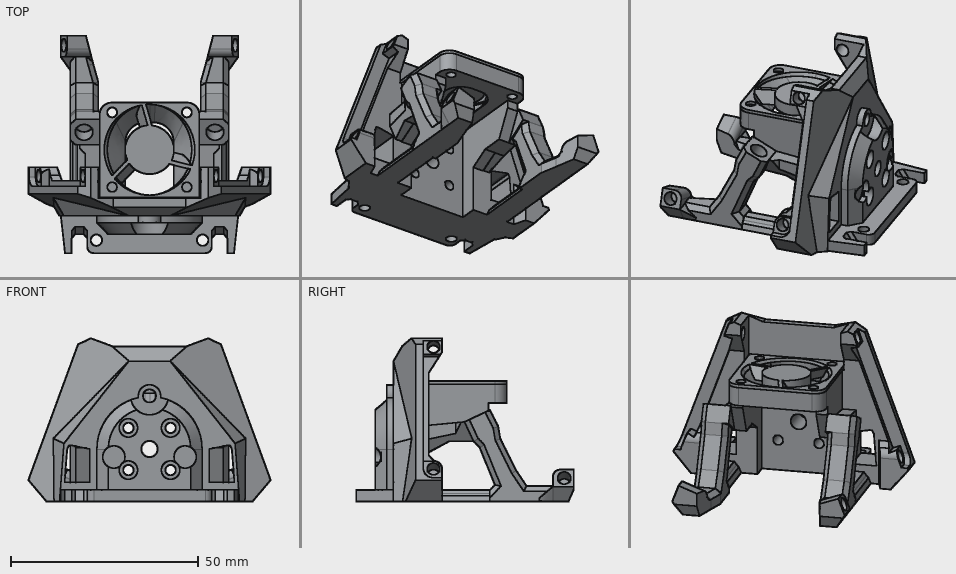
import cadquery as cq
import math


plate_front_y = 9.95
plate_edge_y = 15.85
rebate_y = 17.9
plate_rear_y = 19.4
ear_rear_y = 23.0
inset_peak_x = 17.2
rebate_inset = 1.7
top_z = 41.4

brow = (5.5, plate_front_y, 37.55)
cheek = (25.6, 14.75, 16.8)
cheek_inner = (22.85, plate_front_y, 15.55)
cheek_foot = (cheek[0], 12.6, 0.0)
notch_corner = (9.7, top_z)
peak = (15.65, 43.6)
shoulder = (19.1, 42.0)
elbow = (32.35, 5.75)
foot = (27.5, 0.0)
brow_rear = (notch_corner[0], 12.2, top_z)
shoulder_edge = (shoulder[0], plate_edge_y, shoulder[1])
elbow_edge = (elbow[0], plate_edge_y, elbow[1])
flank_run = (elbow[0] - shoulder[0]) / (shoulder[1] - elbow[1])
flank_tilt = math.degrees(math.atan(flank_run))

window_bottom_z = 5.1
window_outline = [(16.0, window_bottom_z), (22.65, window_bottom_z), (21.95, 14.05), (21.5, 15.0),
                  (20.8, 15.0), (16.0, 14.05)]

ear_hole_radius = 1.7
flank_drill_reach = 5.2
ear_hole_y = 20.65
upper_ear_hole_z = 41.3
lower_ear_hole_z = 8.75
upper_pad_z = 39.35
lower_pad_z = 10.8
pad_rise = 2.15
rebate_round = 2.5
ledge_z = 6.4
lower_ear_inner_x = 23.35
lower_ear_tip_x = 24.65

flange_height = 3.1
flange_half_width = 23.7
prong_tip_x = 22.6
slot_inner_x = 16.65
slot_outer_x = 20.8
slot_top_y = 7.05
slot_bottom_y = 5.05
tongue_corner = 1.75
slot_corner = 0.9
flange_hole_x = 14.2
flange_hole_y = 3.5
flange_hole_radius = 1.5

boss_z = 14.05
boss_radius = 14.05
boss_step_y = 8.15
boss_face_y = 5.05
boss_face_radius = 11.0
screw_z = 28.2
screw_pad_radius = 3.0
screw_clearance_radius = 5.05
screw_hole_radius = 1.75
bolt_spacing = 11.25
bolt_radius = 1.35
counterbore_radius = 2.45
counterbore_depth = 2.6
centre_hole_radius = 2.15
pocket_x = 9.5
pocket_z = 11.9
pocket_radius = 3.0
pocket_depth = 1.6

duct_half_width = 13.3
recess_half_width = 13.7
recess_y = 14.6
cover_front_y = 15.0
cover_bottom_z = 31.3
cover_thickness = 0.9
duct_wall_rear_y = 35.35
lug_rear_y = 40.25
lug_bottom_z = 26.3
lug_corner = 3.25
duct_bottom_z = 16.1
channel_half_width = 10.1
fan_y = 27.65
fan_radius = 12.1
funnel_half_width = 11.25
throat_half_width = 6.4
throat_front_y = fan_y - fan_radius
throat_rear_y = 34.9
throat_corner = 5.2
fan_hole_spacing = 19.95
fan_hole_radius = 1.3
fan_hole_depth = 3.9
hub_radius = 6.55
hub_depth = 3.25
vane_count = 3
vane_width = 1.1
vane_offset = 1.9
vane_lean = 2.2
vane_angle = 106.0

pad_front = (28.9, 21.3)
pad_rear = (35.7, 24.45)
pad_back = (37.9, 20.1)
arm_heel = (31.3, duct_bottom_z)
duct_foot_y = 24.9
duct_foot_z = 13.15
arm_inner_x = 13.65
arm_outer_x = 21.15
arm_chamfer = 1.4
pad_tilt = 25.0
pad_hole_x = 17.5
pad_hole_y = 32.3
pad_hole_z = 22.85
pad_hole_radius = 2.3
pad_hole_depth = 5.2
arm_foot_z = 4.2
stem_foot_y = 35.7
tail_front_y = 52.5
tail_rear_y = 58.1
tail_corner = (23.75, 4.0)
tail_shoulder = (22.0, 8.6)
tail_round = 2.15
flare_length = 3.6
flare_tip_z = 0.9
tail_hole = (22.65, 55.5, 6.2)
tail_hole_radius = 1.75
rail_front_y = 18.8
rail_rear_y = 37.55
rail_half_width = 3.3
gusset_outer_x = 17.15
gusset_inner_x = 15.2
gusset_flare_x = 19.2

OVERLAP = 0.65
FAR = 194.15
PART_CENTRE = cq.Vector(0, 25.9, 12.95)


def mirrored(body):
    """Return the body together with its mirror image across X = 0."""
    return body.union(body.mirror("YZ"))


def along_y(points, y0, y1):
    """Prism of an XZ outline between two Y positions."""
    return cq.Workplane("XZ", origin=(0, y0, 0)).polyline(points).close().extrude(y0 - y1)


def along_x(points, x0, x1):
    """Prism of a YZ outline between two X positions."""
    return cq.Workplane("YZ", origin=(x0, 0, 0)).polyline(points).close().extrude(x1 - x0)


def along_z(points, z0, z1):
    """Prism of an XY outline between two heights."""
    return cq.Workplane("XY", origin=(0, 0, z0)).polyline(points).close().extrude(z1 - z0)


def block(x0, x1, y0, y1, z0, z1):
    return cq.Workplane("XY").box(x1 - x0, y1 - y0, z1 - z0, centered=False).translate((x0, y0, z0))


def disc(x, z, radius, y0, y1):
    """Cylinder along Y."""
    return cq.Workplane("XZ", origin=(x, y0, z)).circle(radius).extrude(y0 - y1)


def trim(body, a, b, c):
    """Cut the body along the plane through three points, keeping the side of the part centre."""
    origin = cq.Vector(*a)
    normal = (cq.Vector(*b) - origin).cross(cq.Vector(*c) - origin).normalized()
    if normal.dot(PART_CENTRE - origin) > 0:
        normal = normal * -1
    waste = cq.Workplane(cq.Plane(origin, normal=normal)).rect(FAR, FAR).extrude(FAR)
    return body.cut(waste)


def trim_both(body, *points):
    """Cut the body along a plane and along the mirror image of that plane."""
    body = trim(body, *points)
    return trim(body, *[(-x, y, z) for x, y, z in points])


def flank_x(z):
    """Half width of the rim at a height on its sloping side."""
    return elbow[0] - (z - elbow[1]) * flank_run


def flank_hole(x, y, z, radius):
    """Long drill square to the sloping flank, centred on a point."""
    drill = cq.Workplane("YZ").circle(radius).extrude(flank_drill_reach, both=True)
    return drill.rotate((0, 0, 0), (0, 1, 0), -flank_tilt).translate((x, y, z))


def make_faceted_plate():
    half = [notch_corner, peak, shoulder, elbow, foot]
    outline = half + [(-x, z) for x, z in reversed(half)]
    shell = along_y(outline, plate_front_y, rebate_y)
    shell = trim_both(shell, brow, shoulder_edge, elbow_edge)
    raised = block(-cheek[0], cheek[0], plate_front_y, plate_edge_y, 0, brow[2])
    raised = trim_both(raised, brow, cheek, cheek_inner)
    raised = trim_both(raised, cheek, cheek_inner, cheek_foot)
    plate = shell.union(raised)
    return trim(plate, brow, brow_rear, (-brow[0], brow[1], brow[2]))


def make_ear_gap():
    """Sunken stretch of the rebate that leaves the two ear pads standing proud of the rim."""
    lean = math.radians(flank_tilt)

    def off_pad(z, distance):
        return (flank_x(z) - rebate_inset + distance * math.cos(lean), z + distance * math.sin(lean))

    outline = [off_pad(upper_pad_z, OVERLAP), off_pad(upper_pad_z, -pad_rise),
               off_pad(lower_pad_z, -pad_rise), off_pad(lower_pad_z, OVERLAP)]
    return along_y(outline, rebate_y, ear_rear_y)


def make_rim():
    """Right-hand rebated rim behind the plate, with an upper and a lower ear."""
    top_drop = (peak[1] - shoulder[1]) / (shoulder[0] - peak[0])
    inset_peak = (inset_peak_x, peak[1] - (inset_peak_x - peak[0]) * top_drop)
    step_x = flank_x(ledge_z)
    outline = [(0, 0), foot, elbow, (step_x, ledge_z), (step_x - rebate_inset, ledge_z), inset_peak,
               peak, notch_corner, (0, top_z)]
    front = rebate_y - OVERLAP
    rim = along_y(outline, front, plate_rear_y)
    ears = along_y(outline, front, ear_rear_y)
    upper = along_x([(front, 45.3), (ear_rear_y, 45.3), (ear_rear_y, 39.9), (plate_rear_y, 34.35),
                     (front, 34.35)], recess_half_width, elbow[0])
    lower = along_z([(lower_ear_inner_x, front), (lower_ear_inner_x, plate_rear_y),
                     (lower_ear_tip_x, ear_rear_y), (38.8, ear_rear_y), (38.8, front)], 0, 19.4)
    lower_side = (cq.Workplane("YZ").moveTo(front, 0).lineTo(ear_rear_y, 0)
                  .lineTo(ear_rear_y, lower_ear_hole_z)
                  .threePointArc((22.3, 10.2), (20.85, 10.9)).lineTo(plate_rear_y, 12.35).lineTo(front, 12.35)
                  .close().extrude(38.8))
    rim = rim.union(ears.intersect(upper)).union(ears.intersect(lower).intersect(lower_side))
    rim = rim.cut(make_ear_gap())
    corner = (cq.Workplane("YZ", origin=(lower_ear_tip_x, 0, 0)).moveTo(front, ledge_z)
              .lineTo(rebate_y + rebate_round, ledge_z)
              .radiusArc((rebate_y, ledge_z + rebate_round), rebate_round)
              .lineTo(front, ledge_z + rebate_round)
              .close().extrude(elbow[0]))
    full = along_y([(0, 0), foot, elbow, shoulder, (0, shoulder[1])], front, ear_rear_y)
    rim = rim.union(corner.intersect(full))
    for z in (upper_ear_hole_z, lower_ear_hole_z):
        rim = rim.cut(flank_hole(flank_x(z) - rebate_inset, ear_hole_y, z, ear_hole_radius))
    return rim


def make_flange():
    rear = plate_front_y + OVERLAP
    outline = [(flange_half_width, rear), (flange_half_width, plate_front_y), (prong_tip_x, 0)]
    outline += [(-x, y) for x, y in reversed(outline)]
    flange = along_z(outline, 0, flange_height)
    slot = along_x([(-OVERLAP, 0), (slot_bottom_y, 0), (slot_top_y, flange_height),
                    (-OVERLAP, flange_height)],
                   slot_inner_x, slot_outer_x)
    rear_corners = cq.selectors.BoxSelector((slot_inner_x - 0.65, 3.25, -0.65), (slot_outer_x + 0.65, 9.7, 6.5))
    slot = slot.edges(rear_corners).edges("not #Z").chamfer(slot_corner)
    flange = flange.cut(mirrored(slot))
    tongue_edges = cq.selectors.BoxSelector((-slot_inner_x - 0.65, -0.65, -0.65), (slot_inner_x + 0.65, 0.65, 6.5))
    flange = flange.edges("|Z").edges(tongue_edges).fillet(tongue_corner)
    holes = (cq.Workplane("XY").pushPoints([(flange_hole_x, flange_hole_y), (-flange_hole_x, flange_hole_y)])
             .circle(flange_hole_radius).extrude(flange_height))
    return flange.cut(holes)


def arch(radius, y0, y1, end_radius):
    """Round-topped prism standing on the flange, tapering towards the front when the radii differ."""
    rear_plane = cq.Workplane("XZ", origin=(0, y0, boss_z))
    head = rear_plane.circle(radius).workplane(offset=y0 - y1).circle(end_radius).loft()
    leg = along_z([(-radius, y0), (-end_radius, y1), (end_radius, y1), (radius, y0)], flange_height, boss_z)
    head = head.intersect(block(-FAR, FAR, 0, FAR, boss_z, FAR))
    return head.union(leg)


def make_mounting_boss():
    boss = arch(boss_radius, plate_front_y + OVERLAP, boss_step_y, boss_radius)
    face = arch(boss_radius, boss_step_y, boss_face_y, boss_face_radius)
    face = face.cut(disc(0, screw_z, screw_clearance_radius, 0, boss_step_y))
    screw_pad = disc(0, screw_z, screw_pad_radius, boss_step_y, plate_front_y + OVERLAP)
    return boss.union(face).union(screw_pad)


def drill_mounting_boss(body):
    body = body.cut(disc(0, boss_z, centre_hole_radius, 0, plate_rear_y))
    body = body.cut(disc(0, screw_z, screw_hole_radius, 0, fan_y))
    for side in (-1, 1):
        body = body.cut(disc(side * pocket_x, pocket_z, pocket_radius, 0, boss_face_y + pocket_depth))
        for level in (-1, 1):
            x = side * bolt_spacing / 2
            z = boss_z + level * bolt_spacing / 2
            body = body.cut(disc(x, z, bolt_radius, 0, plate_rear_y))
            body = body.cut(disc(x, z, counterbore_radius, 0, boss_face_y + counterbore_depth))
    return body


def make_bore():
    """Opening of the cover: round on top, narrowed to an oval underneath."""
    return (cq.Workplane("XY", origin=(0, fan_y, cover_bottom_z)).ellipse(funnel_half_width, fan_radius)
            .workplane(offset=cover_thickness).ellipse(fan_radius, fan_radius).loft())


def make_funnel():
    """Air passage from the oval below the cover down to the throat, which is rounded at the rear."""
    length = throat_rear_y - throat_front_y
    throat = cq.Sketch().rect(2 * throat_half_width, length).vertices(">Y").fillet(throat_corner)
    throat = throat.moved(cq.Location(cq.Vector(0, throat_rear_y - length / 2 - fan_y, 0)))
    oval = cq.Sketch().ellipse(funnel_half_width, fan_radius)
    oval = oval.moved(cq.Location(cq.Vector(0, 0, cover_bottom_z - lug_bottom_z)))
    return cq.Workplane("XY", origin=(0, fan_y, lug_bottom_z)).placeSketch(throat, oval).loft()


def fan_deck(front_y, z0, z1):
    """Slab with the rounded rear corners shared by the lug and the cover."""
    deck = block(-duct_half_width, duct_half_width, front_y, lug_rear_y, z0, z1)
    return deck.edges("|Z and >Y").fillet(lug_corner)


def fan_holes(z0, z1, rows):
    points = [(side * fan_hole_spacing / 2, fan_y + row * fan_hole_spacing / 2)
              for side in (-1, 1) for row in rows]
    return cq.Workplane("XY", origin=(0, 0, z0)).pushPoints(points).circle(fan_hole_radius).extrude(z1 - z0)


def make_duct():
    side = [(recess_y - OVERLAP, lug_bottom_z + OVERLAP), (duct_wall_rear_y, lug_bottom_z + OVERLAP),
            (duct_wall_rear_y, 23.95), arm_heel, (duct_foot_y, duct_bottom_z),
            (plate_rear_y, duct_foot_z), (recess_y - OVERLAP, duct_foot_z)]
    return along_x(side, -duct_half_width, duct_half_width).union(
        fan_deck(recess_y - OVERLAP, lug_bottom_z, cover_bottom_z))


def make_foot_taper():
    """Waste beside the inner side of the foot, which leans outwards towards the rear."""
    return along_z([(0, 45.75), (arm_inner_x, 45.75), (15.0, 50.6), (16.95, tail_rear_y), (0, tail_rear_y)],
                   0, tail_shoulder[1])


def make_stem():
    """Leaning stem from the tilted screw pad down to the foot, with chamfered long edges."""
    pad = [pad_front, pad_rear, pad_back]
    stem = along_x(pad + [(38.5, 16.8), (42.7, 8.35), (45.5, arm_foot_z), (tail_rear_y, arm_foot_z),
                          (tail_rear_y, 0), (stem_foot_y, 0), (stem_foot_y, flange_height), (37.0, 4.45),
                          (32.95, 14.45), arm_heel],
                   arm_inner_x, arm_outer_x)
    stem = stem.cut(make_foot_taper())
    long_edges = cq.selectors.BoxSelector((arm_inner_x - 0.65, 28.5, 3.55), (arm_outer_x + 0.65, tail_rear_y - 0.65, 22.65))
    stem = stem.edges("not |X").edges(long_edges).chamfer(arm_chamfer)
    return stem.union(along_x(pad + [arm_heel], duct_half_width, arm_inner_x + arm_chamfer))


def make_gusset():
    """Bar joining the screw pad to the plate, flared at the pad and bevelled below."""
    gusset = along_x([(rail_front_y, 20.3), pad_front, arm_heel, (duct_foot_y, duct_bottom_z),
                      (rail_front_y, 12.95)], duct_half_width, arm_outer_x)
    flare = along_z([(0, rail_front_y), (gusset_outer_x, rail_front_y), (gusset_outer_x, 26.55),
                     (gusset_flare_x, 28.6), (gusset_flare_x, arm_heel[0]), (0, arm_heel[0])], 0, cover_bottom_z)
    gusset = gusset.intersect(flare)
    return trim(gusset, (gusset_outer_x, pad_front[0], 18.7), (gusset_outer_x, plate_rear_y, 16.7),
                (gusset_inner_x, plate_rear_y, duct_foot_z))


def make_tail():
    """Drilled block at the end of the foot, its outer side and top leaning like the plate flank."""
    drop = (tail_shoulder[0] - arm_inner_x) * math.tan(math.radians(flank_tilt))
    tail = along_y([(arm_inner_x, 0), (arm_outer_x, 0), tail_corner, tail_shoulder,
                    (arm_inner_x, tail_shoulder[1] - drop)], tail_front_y, tail_rear_y)
    tail = tail.faces("<Y").edges(">Z").fillet(tail_round)
    flare = (cq.Workplane("XZ", origin=(0, tail_front_y, 0))
             .polyline([(arm_inner_x, 0), (arm_outer_x, 0), tail_corner,
                        (arm_inner_x, tail_corner[1])]).close()
             .workplane(offset=flare_length)
             .polyline([(arm_inner_x, 0), (arm_outer_x - 0.05, 0), (arm_outer_x, flare_tip_z),
                        (arm_inner_x, flare_tip_z)])
             .close().loft(ruled=True))
    return tail.union(flare).cut(make_foot_taper())


def make_arm():
    """Right-hand arm: stem with screw pad, gusset, rail along the base and drilled tail."""
    half = [(rail_half_width, 0), (rail_half_width - 0.65, 1.55), (rail_half_width - 1.3, 2.25),
            (rail_half_width - 1.95, flange_height)]
    middle = arm_outer_x - rail_half_width
    profile = [(middle + u, z) for u, z in half] + [(middle - u, z) for u, z in reversed(half)]
    rail = along_y(profile, rail_front_y, rail_rear_y)
    arm = make_stem().union(rail).union(make_gusset()).union(make_tail())
    heel = along_x([(tail_rear_y, 3.25), (56.7, 0), (tail_rear_y, 0)], 0, elbow[0])
    arm = arm.cut(heel).cut(flank_hole(*tail_hole, tail_hole_radius))
    pad_drill = (cq.Workplane("XY").circle(pad_hole_radius).extrude(pad_hole_depth, both=True)
                 .rotate((0, 0, 0), (1, 0, 0), pad_tilt).translate((pad_hole_x, pad_hole_y, pad_hole_z)))
    return arm.cut(pad_drill)


def make_housing():
    plate = make_faceted_plate().union(mirrored(make_rim()))
    recess = block(-recess_half_width, recess_half_width, recess_y, FAR, cover_bottom_z, FAR)
    body = plate.cut(recess)
    body = body.union(make_flange()).union(make_mounting_boss()).union(make_duct())
    channel = block(-channel_half_width, channel_half_width, recess_y, FAR, 0, lug_bottom_z)
    body = body.cut(channel).cut(make_funnel())
    window = along_y(window_outline, 0, FAR)
    body = body.cut(mirrored(window))
    body = drill_mounting_boss(body)
    body = body.cut(fan_holes(cover_bottom_z - fan_hole_depth, cover_bottom_z, (-1,)))
    body = body.cut(fan_holes(0, cover_bottom_z, (1,)))
    return body.union(mirrored(make_arm()))


def make_cover():
    """Thin fan cover whose hub hangs in the duct on leaning vanes."""
    top = cover_bottom_z + cover_thickness
    hub_bottom = top - hub_depth
    bore = make_bore()
    plate = fan_deck(cover_front_y, cover_bottom_z, top).cut(bore)
    plate = plate.cut(fan_holes(cover_bottom_z, top, (-1, 1)))
    hub = cq.Workplane("XY", origin=(0, fan_y, hub_bottom)).circle(hub_radius).extrude(hub_depth)
    near = -vane_offset - vane_width / 2
    far = near + vane_width
    profile = [(near, top), (far, top), (far + vane_lean, hub_bottom), (near + vane_lean, hub_bottom)]
    vane = along_x(profile, hub_radius / 2, fan_radius + OVERLAP)
    spider = hub
    for index in range(vane_count):
        angle = vane_angle + index * 360 / vane_count
        spider = spider.union(vane.rotate((0, 0, 0), (0, 0, 1), angle).translate((0, fan_y, 0)))
    spider = spider.intersect(bore.union(make_funnel()))
    return plate.union(spider)


housing = make_housing()
cover = make_cover()
result = cq.Compound.makeCompound([housing.val(), cover.val()])